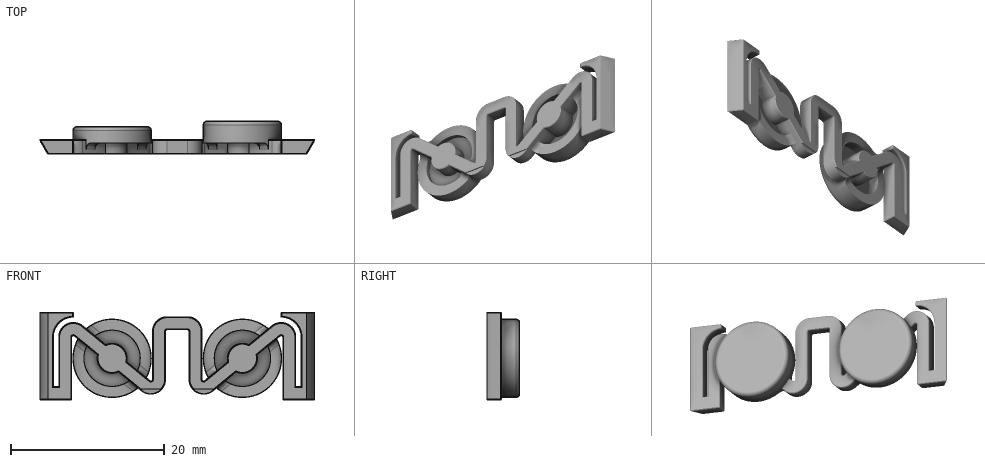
import cadquery as cq
import math

length = 35.85
height = 11.45
plate_thickness = 1.9
edge_chamfer = 0.1
bevel_angle = 30.0

strip_width = 1.7
inner_radius = 0.2
outer_radius = inner_radius + strip_width
mean_radius = inner_radius + strip_width / 2

pad_x = 8.5
pad_z = -0.3
pad_diameter = 10.2
pad_front = 1.45
low_pad_back = 3.6
high_pad_back = 4.3
pad_back_fillet = 0.5
recess_diameter = 7.35
pad_floor = 1.47
hub_diameter = 3.9
web_fillet = 0.75

bend_offset_x = 5.05
bend_offset_z = 2.75
end_bend = (-pad_x - bend_offset_x, pad_z + bend_offset_z)
low_bend = (-pad_x + bend_offset_x, pad_z - bend_offset_z)
top_bend = (low_bend[0] + 2 * inner_radius + strip_width, 3.23)

step_depth = 0.2
step_top = -4.3

slot_width = 0.7
slot_bottom = -3.98
slot_radius = outer_radius + slot_width

half_length = length / 2
half_height = height / 2

oblique_angle = -math.degrees(
    math.atan2(bend_offset_z, bend_offset_x)
    + math.asin(mean_radius / math.hypot(bend_offset_x, bend_offset_z))
)


def on_circle(center, radius, angle):
    """Point on a circle in the XZ plane, angle in degrees from +X."""
    turn = math.radians(angle)
    return (center[0] + radius * math.cos(turn), center[1] + radius * math.sin(turn))


def arc(outline, center, radius, start, end):
    """Line to the start of an arc, then the arc."""
    outline = outline.lineTo(*on_circle(center, radius, start))
    middle = on_circle(center, radius, (start + end) / 2)
    return outline.threePointArc(middle, on_circle(center, radius, end))


def half_plate():
    """Left half of the plate, with its end block left square and one thickness too long."""
    normal = oblique_angle + 90
    outer_end = -half_length - plate_thickness
    outline = cq.Workplane("XZ").moveTo(outer_end, -half_height).lineTo(outer_end, half_height)
    outline = outline.lineTo(end_bend[0], half_height)
    outline = arc(outline, end_bend, slot_radius, 90, 180)
    outline = outline.lineTo(end_bend[0] - slot_radius, slot_bottom)
    outline = outline.lineTo(end_bend[0] - outer_radius, slot_bottom)
    outline = arc(outline, end_bend, outer_radius, 180, normal)
    outline = arc(outline, low_bend, inner_radius, normal - 180, 0)
    outline = arc(outline, top_bend, outer_radius, 180, 90)
    outline = outline.lineTo(0, top_bend[1] + outer_radius)
    outline = outline.lineTo(0, top_bend[1] + inner_radius)
    outline = arc(outline, top_bend, inner_radius, 90, 180)
    outline = arc(outline, low_bend, outer_radius, 0, normal - 180)
    outline = arc(outline, end_bend, inner_radius, normal, 180)
    outline = outline.lineTo(end_bend[0] - inner_radius, -half_height)
    plate = outline.close().extrude(-plate_thickness)
    corners = plate.faces("<Z or >Z").edges("|Y").edges("not <X")
    plate = corners.chamfer(edge_chamfer)
    hub = cq.Workplane("XZ").center(-pad_x, pad_z).circle(hub_diameter / 2).extrude(-plate_thickness)
    return plate.union(hub)


def bevel_ends(plate):
    """Slope the two end faces, widest at the back, and break their long back edges."""
    slope = math.radians(bevel_angle)
    back_x = half_length + edge_chamfer * math.sin(slope)
    front_x = back_x - plate_thickness * math.tan(slope)
    envelope = (
        cq.Workplane("XY")
        .polyline([
            (-back_x, plate_thickness),
            (back_x, plate_thickness),
            (front_x, 0),
            (-front_x, 0),
        ])
        .close()
        .extrude(half_height, both=True)
    )
    sharp_edges = envelope.edges("(|Z and (<X or >X)) or (not (|X or |Z))")
    return plate.intersect(sharp_edges.chamfer(edge_chamfer))


def low_bend_steps():
    """Block that sets back the front of both low bends below the step line."""
    block_width = 2 * (outer_radius - low_bend[0])
    block = cq.Workplane("XY").box(block_width, step_depth, half_height, centered=(True, False, False))
    return block.translate((0, 0, step_top - half_height))


def spring_plate():
    left = half_plate()
    plate = left.union(left.mirror("YZ"))
    plate = plate.faces("<Y or >Y").edges().chamfer(edge_chamfer)
    return bevel_ends(plate).cut(low_bend_steps())


def pad(back):
    """Left pad: a rounded disc with a front recess, joined to the strip by hub, rib and webs."""
    def cylinder(diameter, start, end):
        front = cq.Workplane("XZ", origin=(-pad_x, start, pad_z))
        return front.circle(diameter / 2).extrude(start - end)

    recess_floor = back - pad_floor
    disc = cylinder(pad_diameter, pad_front, back).faces(">Y").edges().fillet(pad_back_fillet)
    recess = cylinder(recess_diameter, pad_front, recess_floor)
    recess = recess.cut(strip_bar(strip_width, 0, recess_floor)).cut(cylinder(hub_diameter, 0, back))
    ring = cylinder(pad_diameter, 0, recess_floor).cut(cylinder(recess_diameter, 0, back))
    return disc.cut(recess).union(webs(recess_floor).intersect(ring))


def strip_section():
    """Plane across the oblique strip at the left pad center: local x across it, local y along +Y."""
    tilt = math.radians(oblique_angle)
    along = (math.cos(tilt), 0, math.sin(tilt))
    across = (math.sin(tilt), 0, -math.cos(tilt))
    return cq.Workplane(cq.Plane(origin=(-pad_x, 0, pad_z), xDir=across, normal=along))


def strip_bar(width, front, back):
    """Bar along the oblique strip, long enough to cross the whole pad."""
    section = strip_section().center(0, (front + back) / 2)
    return section.rect(width, back - front).extrude(pad_diameter, both=True)


def webs(back):
    """Bar along the oblique strip with concave flanks that blend its sides into the pad front."""
    reach = strip_width / 2 + web_fillet
    web_front = pad_front - web_fillet
    hollows = (
        strip_section()
        .pushPoints([(-reach, web_front), (reach, web_front)])
        .circle(web_fillet)
        .extrude(pad_diameter, both=True)
    )
    return strip_bar(2 * reach, web_front, back).cut(hollows)


result = spring_plate()
result = result.union(pad(low_pad_back)).union(pad(high_pad_back).mirror("YZ"))